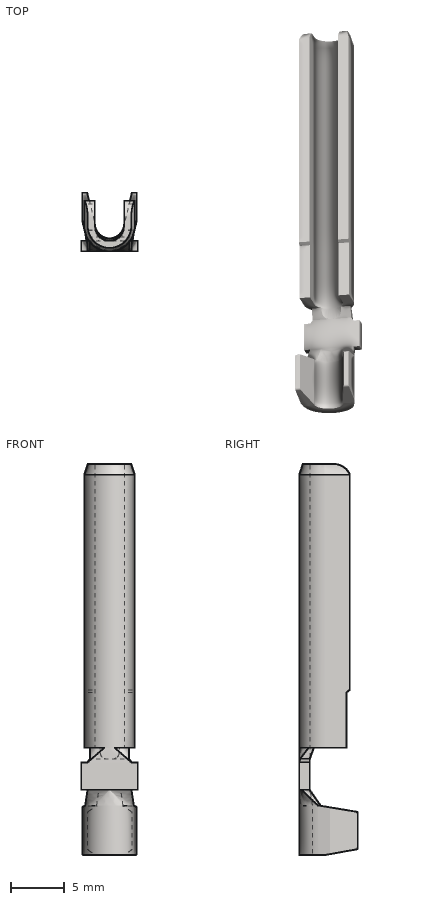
import cadquery as cq
import math

total_length = 36.32
wall = 1.0

barrel_radius = 2.35
barrel_bottom = 9.95
barrel_depth = 4.72
barrel_low_depth = 4.41
barrel_step_z = 15.35
barrel_step_bevel = 0.25
rim_height = 1.0
rim_inset = 0.33
rim_flat_end = 3.2

plate_width = 5.26
plate_bottom = 6.05
plate_top = 8.62

crimp_radius = 2.35
crimp_half_width = 2.54
crimp_depth = 5.46
crimp_height = 4.6
crimp_flare_angle = 14.0
crimp_flare_end = 2.87
crimp_tip_wall = 0.47
crimp_inner_radius = 1.35
crimp_floor = 1.22
crimp_taper_start_bottom = 2.4
crimp_taper_start_top = 1.95
crimp_tip_low = 0.55
crimp_tip_high = 4.02
crimp_tip_radius = 0.2

neck_base_half_width = 2.05
neck_base_rear_half = neck_base_half_width / 2
upper_neck_half_width = 1.83
upper_neck_rear = 1.37
upper_neck_bend_z = 8.93
upper_neck_flat_half = 0.5
upper_neck_corner_y = 0.1
upper_neck_corner_inset = 0.03
lower_neck_rear = 2.0
lower_neck_fan_half = 1.6
lower_neck_apex_half = 0.02
lower_neck_corner_y = 0.25
lower_neck_arm_end = 1.75


def arc_y(radius, x):
    """Y of the lower half of a circle that touches Y = 0 at X = 0."""
    return radius - math.sqrt(radius**2 - x**2)


def arc_x(radius, y, floor=0.0):
    """Half width at Y of a circle that touches Y = floor at X = 0."""
    return math.sqrt(radius**2 - (floor + radius - y) ** 2)


def channel_outline(radius, depth, z):
    """U-shaped outline with straight arms, concentric with the barrel."""
    return (
        cq.Workplane("XY", origin=(0, 0, z))
        .moveTo(-radius, depth)
        .lineTo(-radius, barrel_radius)
        .threePointArc((0, barrel_radius - radius), (radius, barrel_radius))
        .lineTo(radius, depth)
        .close()
    )


def side_profile(sketch):
    """Close a YZ outline and extrude it past both sides of the part."""
    return sketch.close().extrude(plate_width, both=True)


def make_barrel():
    rim_z = total_length - rim_height
    body = channel_outline(barrel_radius, barrel_depth, barrel_bottom).extrude(rim_z - barrel_bottom)
    rim_base = channel_outline(barrel_radius, barrel_depth, rim_z).val()
    rim_top = channel_outline(barrel_radius - rim_inset, barrel_depth, total_length).val()
    rim = cq.Workplane(cq.Solid.makeLoft([rim_base, rim_top], True))
    bore_outline = channel_outline(barrel_radius - wall, barrel_depth, barrel_bottom)
    bore = bore_outline.extrude(total_length - barrel_bottom)

    curve_run = barrel_depth - rim_flat_end
    curve_radius = (curve_run**2 + rim_height**2) / (2 * rim_height)
    curve_half_angle = math.asin(curve_run / curve_radius) / 2
    curve_mid = (
        rim_flat_end + curve_radius * math.sin(curve_half_angle),
        total_length - curve_radius * (1 - math.cos(curve_half_angle)),
    )
    envelope = side_profile(
        cq.Workplane("YZ")
        .moveTo(0, barrel_bottom)
        .lineTo(barrel_low_depth, barrel_bottom)
        .lineTo(barrel_low_depth, barrel_step_z - barrel_step_bevel)
        .lineTo(barrel_depth, barrel_step_z)
        .lineTo(barrel_depth, rim_z)
        .threePointArc(curve_mid, (rim_flat_end, total_length))
        .lineTo(0, total_length)
    )
    return body.union(rim).cut(bore).intersect(envelope)


def make_plate():
    return cq.Workplane("XY", origin=(0, 0, plate_bottom)).box(
        plate_width, wall, plate_top - plate_bottom, centered=(True, False, False)
    )


def make_crimp():
    flare = math.radians(crimp_flare_angle)
    flare_x = crimp_radius * math.cos(flare)
    flare_y = crimp_radius * (1 - math.sin(flare))
    inner_center_y = crimp_floor + crimp_inner_radius
    tip_x = crimp_half_width - crimp_tip_wall
    body = (
        cq.Workplane("XY")
        .moveTo(-crimp_half_width, crimp_depth)
        .lineTo(-crimp_half_width, crimp_flare_end)
        .lineTo(-flare_x, flare_y)
        .threePointArc((0, 0), (flare_x, flare_y))
        .lineTo(crimp_half_width, crimp_flare_end)
        .lineTo(crimp_half_width, crimp_depth)
        .lineTo(tip_x, crimp_depth)
        .lineTo(crimp_inner_radius, inner_center_y)
        .threePointArc((0, crimp_floor), (-crimp_inner_radius, inner_center_y))
        .lineTo(-tip_x, crimp_depth)
        .close()
        .extrude(crimp_height)
    )
    envelope = side_profile(
        cq.Workplane("YZ")
        .moveTo(0, 0)
        .lineTo(crimp_taper_start_bottom, 0)
        .lineTo(crimp_depth, crimp_tip_low)
        .lineTo(crimp_depth, crimp_tip_high)
        .lineTo(crimp_taper_start_top, crimp_height)
        .lineTo(0, crimp_height)
    )
    envelope = envelope.edges("|X and >Y").fillet(crimp_tip_radius)
    return body.intersect(envelope)


def channel_section(z, radius, inner_radius, floor, rear, half_width, split):
    """U-shaped section: outer arc broken at X = +-split, ends cut off at Y = rear."""
    inner_x = arc_x(inner_radius, rear, floor)
    side_y = arc_y(radius, half_width)
    quarter_x = (half_width + split) / 2
    return (
        cq.Workplane("XY", origin=(0, 0, z))
        .moveTo(-half_width, rear)
        .lineTo(-half_width, side_y)
        .threePointArc((-quarter_x, arc_y(radius, quarter_x)), (-split, arc_y(radius, split)))
        .threePointArc((0, 0), (split, arc_y(radius, split)))
        .threePointArc((quarter_x, arc_y(radius, quarter_x)), (half_width, side_y))
        .lineTo(half_width, rear)
        .lineTo(inner_x, rear)
        .threePointArc((0, floor), (-inner_x, rear))
        .close()
        .wires()
        .val()
    )


def plate_section(z, split, side_y):
    """Flat section with the same corner sequence as a channel section."""
    half = neck_base_half_width
    corners = [
        (-half, wall),
        (-half, side_y),
        (-split, 0),
        (split, 0),
        (half, side_y),
        (half, wall),
        (neck_base_rear_half, wall),
        (-neck_base_rear_half, wall),
    ]
    return cq.Workplane("XY", origin=(0, 0, z)).polyline(corners).close().wires().val()


def make_upper_neck():
    base = plate_section(plate_top, neck_base_half_width - upper_neck_corner_inset, upper_neck_corner_y)
    end = channel_section(
        barrel_bottom,
        barrel_radius,
        barrel_radius - wall,
        wall,
        upper_neck_rear,
        neck_base_half_width,
        upper_neck_flat_half,
    )
    neck = cq.Workplane(cq.Solid.makeLoft([base, end], True))
    envelope = side_profile(
        cq.Workplane("YZ")
        .moveTo(0, plate_top)
        .lineTo(wall, plate_top)
        .lineTo(wall, upper_neck_bend_z)
        .lineTo(upper_neck_rear, barrel_bottom)
        .lineTo(0, barrel_bottom)
    )
    waist = (
        cq.Workplane("XZ")
        .moveTo(-neck_base_half_width, plate_top)
        .lineTo(-upper_neck_half_width, upper_neck_bend_z)
        .lineTo(-upper_neck_half_width, barrel_bottom)
        .lineTo(upper_neck_half_width, barrel_bottom)
        .lineTo(upper_neck_half_width, upper_neck_bend_z)
        .lineTo(neck_base_half_width, plate_top)
        .close()
        .extrude(barrel_depth, both=True)
    )
    return neck.intersect(envelope).intersect(waist)


def make_lower_neck():
    end = channel_section(
        crimp_height,
        crimp_radius,
        crimp_inner_radius,
        crimp_floor,
        lower_neck_rear,
        arc_x(crimp_radius, lower_neck_arm_end),
        lower_neck_fan_half,
    )
    base = plate_section(plate_bottom, lower_neck_apex_half, lower_neck_corner_y)
    return cq.Workplane(cq.Solid.makeLoft([end, base], True))


result = make_barrel()
for piece in (make_upper_neck(), make_plate(), make_lower_neck(), make_crimp()):
    result = result.union(piece)